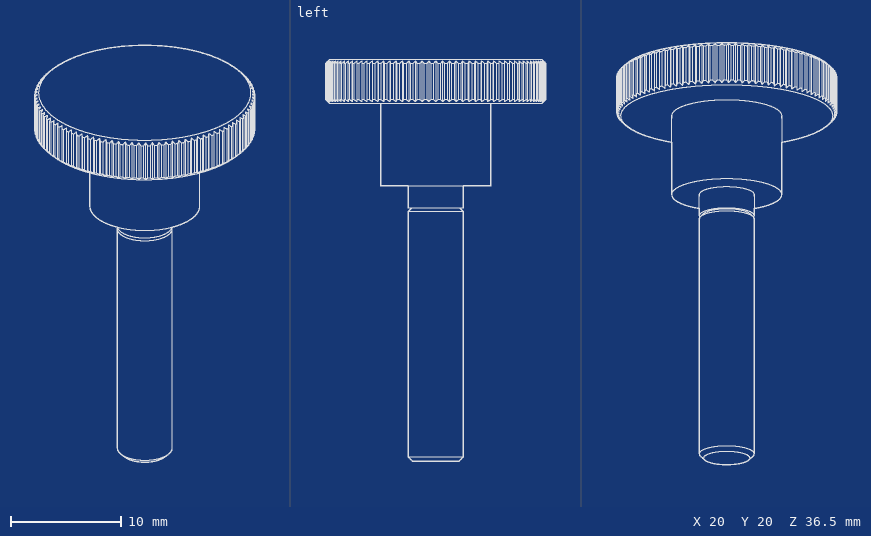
import cadquery as cq
import math

total_length = 36.5
head_diameter = 20.0
head_height = 4.0
hub_diameter = head_diameter / 2
hub_height = 7.5
shaft_diameter = head_diameter / 4
head_chamfer = 0.35
tip_chamfer = 0.4

groove_offset = 2.0
groove_width = 0.3
groove_depth = 0.3

tooth_count = 100
knurl_depth = 0.2
land_fraction = 0.4

head_bottom = total_length - head_height
hub_bottom = head_bottom - hub_height
groove_top = hub_bottom - groove_offset
groove_bottom = groove_top - groove_width


def polar_point(radius, angle):
    return (radius * math.cos(angle), radius * math.sin(angle))


def knurl_outline():
    """Head outline: flat lands on the outer diameter with a V valley on each axis."""
    outer_radius = head_diameter / 2
    root_radius = outer_radius - knurl_depth
    pitch = 2 * math.pi / tooth_count
    half_land = pitch * land_fraction / 2
    points = []
    for tooth in range(tooth_count):
        valley = tooth * pitch
        crest = valley + pitch / 2
        points.append(polar_point(root_radius, valley))
        points.append(polar_point(outer_radius, crest - half_land))
        points.append(polar_point(outer_radius, crest + half_land))
    return points


def make_head():
    knurl = cq.Workplane("XY").workplane(offset=head_bottom).polyline(knurl_outline()).close()
    bevelled_disc = (
        cq.Workplane("XY")
        .workplane(offset=head_bottom)
        .circle(head_diameter / 2)
        .extrude(head_height)
        .faces("<Z or >Z")
        .chamfer(head_chamfer)
    )
    return knurl.extrude(head_height).intersect(bevelled_disc)


def make_hub_and_shaft():
    """Turned profile of the hub, the grooved shaft and its bevelled tip."""
    hub_radius = hub_diameter / 2
    shaft_radius = shaft_diameter / 2
    profile = [
        (0, 0),
        (shaft_radius - tip_chamfer, 0),
        (shaft_radius, tip_chamfer),
        (shaft_radius, groove_bottom),
        (shaft_radius - groove_depth, groove_top),
        (shaft_radius, groove_top),
        (shaft_radius, hub_bottom),
        (hub_radius, hub_bottom),
        (hub_radius, head_bottom),
        (0, head_bottom),
    ]
    return cq.Workplane("XZ").polyline(profile).close().revolve(360, (0, 0), (0, 1))


result = make_head().union(make_hub_and_shaft())